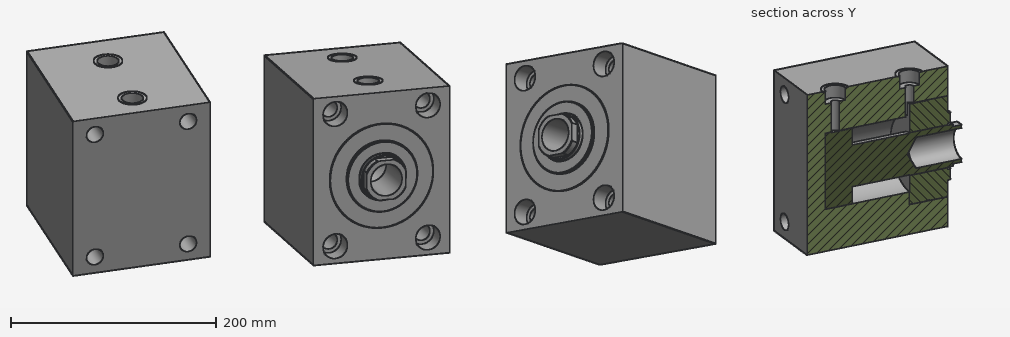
import cadquery as cq


TOTAL_LENGTH = 170.0
ROD_PROTRUSION = 15.1
BLOCK_LENGTH = TOTAL_LENGTH - ROD_PROTRUSION
BLOCK_WIDTH = 140.0
BLOCK_HEIGHT = 170.0
BLOCK_EDGE_CHAMFER = 0.5

BOLT_SPACING_Y = 95.0
BOLT_SPACING_Z = 134.6
BOLT_HOLE_DIAMETER = 17.0
BOLT_HEAD_DIAMETER = 25.0
BOLT_HEAD_DEPTH = 20.0

FRONT_PORT_X = 42.2
PORT_SPACING = 81.8
PORT_SPOTFACE_DIAMETER = 28.2
PORT_SPOTFACE_DEPTH = 0.3
PORT_DIAMETER = 21.2
PORT_DEPTH = 13.6
OIL_HOLE_DIAMETER = 8.5

BORE_DIAMETER = 79.9
BACK_WALL = 20.0
BORE_END_X = BLOCK_LENGTH - BACK_WALL

GLAND_DIAMETER = 106.5
GLAND_END_X = FRONT_PORT_X
GLAND_RIM_CHAMFER = 0.7
LIP_DIAMETER = 72.5
LIP_HEIGHT = 3.2
LIP_CHAMFER = 1.0
WIPER_DIAMETER = 48.5
WIPER_DEPTH = LIP_HEIGHT

ROD_DIAMETER = 44.7
ROD_SHOULDER_X = -5.8
SHOULDER_CHAMFER = 0.5
ROD_END_DIAMETER = 43.9
ROD_END_CHAMFER = 0.5
ROD_FLATS_WIDTH = 40.0
ROD_BORE_DIAMETER = 32.1
ROD_BORE_DEPTH = 50.0
DRILL_CONE_HEIGHT = 9.4
PISTON_LENGTH = 30.0


def x_cylinder(diameter, start_x, end_x):
    """Cylinder on the X axis between two X positions."""
    return cq.Workplane("YZ", origin=(start_x, 0, 0)).circle(diameter / 2).extrude(end_x - start_x)


def z_cylinder(diameter, x, bottom_z, top_z):
    """Vertical cylinder at a place along the X axis."""
    return cq.Workplane("XY", origin=(x, 0, bottom_z)).circle(diameter / 2).extrude(top_z - bottom_z)


def bolt_holes():
    """Four counterbored through holes, with the counterbores in the front face."""
    face = cq.Workplane("YZ").rect(BOLT_SPACING_Y, BOLT_SPACING_Z, forConstruction=True).vertices()
    shanks = face.circle(BOLT_HOLE_DIAMETER / 2).extrude(BLOCK_LENGTH)
    heads = face.circle(BOLT_HEAD_DIAMETER / 2).extrude(BOLT_HEAD_DEPTH)
    return shanks.union(heads)


def oil_port(x):
    """Spotfaced threaded port with a narrow oil hole leading down to the cylinder axis."""
    top = BLOCK_HEIGHT / 2
    spotface = z_cylinder(PORT_SPOTFACE_DIAMETER, x, top - PORT_SPOTFACE_DEPTH, top)
    port = z_cylinder(PORT_DIAMETER, x, top - PORT_DEPTH, top)
    oil_hole = z_cylinder(OIL_HOLE_DIAMETER, x, 0, top)
    return spotface.union(port).union(oil_hole)


def make_housing():
    """Block with the stepped bore, the bolt holes and the two oil ports."""
    block = (
        cq.Workplane("XY")
        .box(BLOCK_LENGTH, BLOCK_WIDTH, BLOCK_HEIGHT, centered=(False, True, True))
        .edges("|X")
        .chamfer(BLOCK_EDGE_CHAMFER)
    )
    block = block.cut(x_cylinder(GLAND_DIAMETER, 0, GLAND_END_X))
    block = block.cut(x_cylinder(BORE_DIAMETER, 0, BORE_END_X))
    block = block.cut(bolt_holes())
    for x in (FRONT_PORT_X, FRONT_PORT_X + PORT_SPACING):
        block = block.cut(oil_port(x))
    return block


def make_gland():
    """Flush disc with a raised lip, bored for the rod and recessed for the wiper."""
    disc = x_cylinder(GLAND_DIAMETER, 0, GLAND_END_X).faces("<X").chamfer(GLAND_RIM_CHAMFER)
    lip = x_cylinder(LIP_DIAMETER, -LIP_HEIGHT, 0).faces("<X").chamfer(LIP_CHAMFER)
    rod_hole = x_cylinder(ROD_DIAMETER, -LIP_HEIGHT, GLAND_END_X)
    wiper_recess = x_cylinder(WIPER_DIAMETER, -LIP_HEIGHT, -LIP_HEIGHT + WIPER_DEPTH)
    return disc.union(lip).cut(rod_hole).cut(wiper_recess)


def rod_bore():
    """Blind drilled hole with a conical bottom in the end of the rod."""
    bore_end = ROD_BORE_DEPTH - ROD_PROTRUSION
    return (
        cq.Workplane("XY")
        .moveTo(-ROD_PROTRUSION, 0)
        .lineTo(-ROD_PROTRUSION, ROD_BORE_DIAMETER / 2)
        .lineTo(bore_end, ROD_BORE_DIAMETER / 2)
        .lineTo(bore_end + DRILL_CONE_HEIGHT, 0)
        .close()
        .revolve(360, (0, 0, 0), (1, 0, 0))
    )


def make_piston_rod():
    """Rod with a drilled square-flatted end, and the piston against the back of the bore."""
    rod = x_cylinder(ROD_DIAMETER, ROD_SHOULDER_X, BORE_END_X).faces("<X").chamfer(SHOULDER_CHAMFER)
    piston = x_cylinder(BORE_DIAMETER, BORE_END_X - PISTON_LENGTH, BORE_END_X)
    rod_end = x_cylinder(ROD_END_DIAMETER, -ROD_PROTRUSION, ROD_SHOULDER_X)
    rod_end = rod_end.faces("<X").chamfer(ROD_END_CHAMFER)
    flats = (
        cq.Workplane("YZ", origin=(-ROD_PROTRUSION, 0, 0))
        .rect(ROD_FLATS_WIDTH, ROD_FLATS_WIDTH)
        .extrude(ROD_PROTRUSION + ROD_SHOULDER_X)
    )
    return rod.union(piston).union(rod_end.intersect(flats)).cut(rod_bore())


housing = make_housing()
gland = make_gland()
piston_rod = make_piston_rod()

result = cq.Compound.makeCompound([body.solids().val() for body in (housing, gland, piston_rod)])